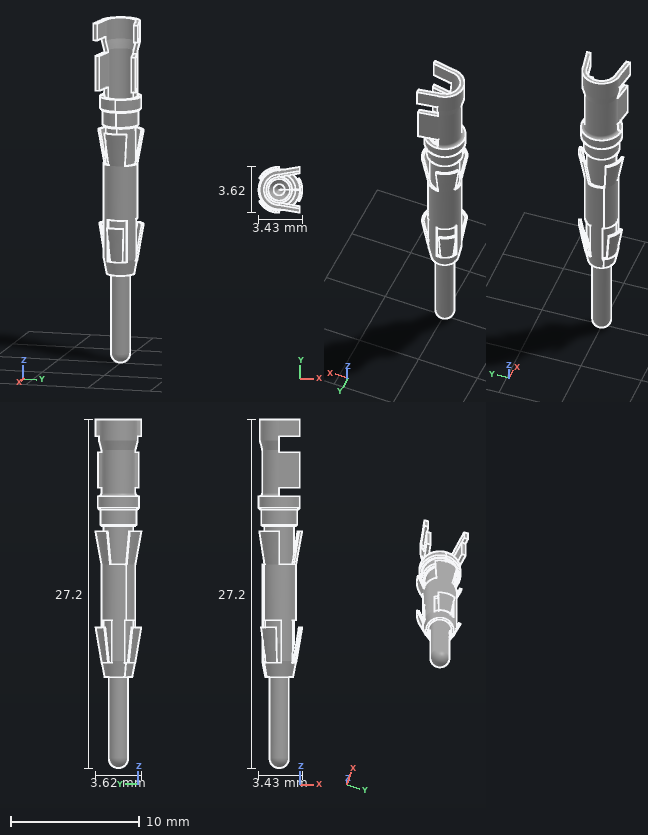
import cadquery as cq
import math

OVERALL_X = 3.43
OVERALL_Y = 3.62
TOP_Z = 27.2
TANG_TIP_RADIUS = OVERALL_Y / 2

PIN_RADIUS = 0.75
PIN_TOP_Z = 7.1
SHAFT_RADIUS = 1.17
SHAFT_CONE_TOP_Z = 9.7
BAND_RADIUS = 1.41
BAND_BOTTOM_Z = 18.85
COLLAR_RADIUS = OVERALL_X - TANG_TIP_RADIUS
COLLAR_BOTTOM_Z = 20.15
COLLAR_TOP_Z = 21.22
EDGE_CHAMFER = 0.14

SHEET_THICKNESS = 0.33
WIRE_RADIUS = 1.33
INSULATION_RADIUS = 1.52
FUNNEL_BOTTOM_Z = 24.8
FUNNEL_TOP_Z = 25.55
BARREL_FOOT_FILLET = 0.25
WIRE_BORE_RADIUS = WIRE_RADIUS - SHEET_THICKNESS
INSULATION_BORE_RADIUS = INSULATION_RADIUS - SHEET_THICKNESS

ARM_TIP_X = 1.6
ARM_SPREAD = 0.27
WIRE_ARM_BOTTOM_Z = 21.87
WIRE_ARM_TOP_Z = 24.65
INSULATION_ARM_BOTTOM_Z = 25.87

RECESS_RADIUS = 1.28
RECESS_DEPTH = 0.55
BORE_FLOOR_Z = 19.58
HOLE_MOUTH_RADIUS = 0.85
HOLE_NECK_RADIUS = 0.44
HOLE_MOUTH_DEPTH = 1.1
HOLE_TIP_DEPTH = 0.35
HOLE_MOUTH_END_Z = BORE_FLOOR_Z - HOLE_MOUTH_DEPTH
HOLE_TIP_Z = HOLE_MOUTH_END_Z - HOLE_TIP_DEPTH

SLEEVE_THICKNESS = 0.15
SLEEVE_INNER_RADIUS = SHAFT_RADIUS
SLEEVE_RADIUS = SLEEVE_INNER_RADIUS + SLEEVE_THICKNESS
SLEEVE_TOP_Z = 15.88
SLEEVE_BOTTOM_RADIUS = 1.1
SLEEVE_CONE_TOP_Z = 8.35

TANG_ANGLES = (0, 120, 240)
UPPER_TANG_TIP_Z = 18.5
UPPER_TANG_SPAN = 60
LOWER_TANG_TIP_Z = 11.0
LOWER_TANG_SPAN = 44
WINDOW_BOTTOM_Z = 8.21
WINDOW_TOP_Z = 11.53
WINDOW_SPAN = 75

SEAM_SPAN = 1
CONTACT_SEAM_ANGLE = 0
SLEEVE_SEAM_ANGLE = 207


def revolve_about_z(profile, start_angle=0, span=360):
    """Turn a closed (radius, z) profile anticlockwise around Z, start_angle degrees from +X."""
    turned = profile.revolve(span, (0, 0, 0), (0, 1, 0))
    return turned.rotate((0, 0, 0), (0, 0, 1), start_angle)


def make_wedge(angle, span, radius, bottom_z, top_z):
    """Cylinder sector with its point on the axis, centred on the given angle."""
    profile = cq.Workplane("XZ").polyline([
        (0, bottom_z), (radius, bottom_z), (radius, top_z), (0, top_z),
    ]).close()
    return revolve_about_z(profile, angle - span / 2, span)


def make_shaft():
    """Pin, shaft, stop band and collar as one turned solid."""
    tip_curve = PIN_RADIUS * math.sqrt(0.5)
    profile = (
        cq.Workplane("XZ")
        .moveTo(0, 0)
        .threePointArc((tip_curve, PIN_RADIUS - tip_curve), (PIN_RADIUS, PIN_RADIUS))
        .lineTo(PIN_RADIUS, PIN_TOP_Z)
        .lineTo(SHAFT_RADIUS, SHAFT_CONE_TOP_Z)
        .lineTo(SHAFT_RADIUS, BAND_BOTTOM_Z)
        .lineTo(BAND_RADIUS - EDGE_CHAMFER, BAND_BOTTOM_Z)
        .lineTo(BAND_RADIUS, BAND_BOTTOM_Z + EDGE_CHAMFER)
        .lineTo(BAND_RADIUS, COLLAR_BOTTOM_Z)
        .lineTo(COLLAR_RADIUS - EDGE_CHAMFER, COLLAR_BOTTOM_Z)
        .lineTo(COLLAR_RADIUS, COLLAR_BOTTOM_Z + EDGE_CHAMFER)
        .lineTo(COLLAR_RADIUS, COLLAR_TOP_Z)
        .lineTo(0, COLLAR_TOP_Z)
        .close()
    )
    return revolve_about_z(profile)


def make_wire_hole():
    """Wire bore with a flat floor, a tapered hole mouth and a pointed end."""
    profile = cq.Workplane("XZ").polyline([
        (0, COLLAR_TOP_Z),
        (WIRE_BORE_RADIUS, COLLAR_TOP_Z),
        (WIRE_BORE_RADIUS, BORE_FLOOR_Z),
        (HOLE_MOUTH_RADIUS, BORE_FLOOR_Z),
        (HOLE_NECK_RADIUS, HOLE_MOUTH_END_Z),
        (0, HOLE_TIP_Z),
    ]).close()
    return revolve_about_z(profile)


def make_collar_recess():
    """Half-round recess in the collar top, on the open (+X) side of the barrels."""
    return make_wedge(0, 180, RECESS_RADIUS, COLLAR_TOP_Z - RECESS_DEPTH, COLLAR_TOP_Z)


def make_barrels():
    """Half-round wire and insulation barrels joined by a funnel, on the -X side."""
    fillet_mid = BARREL_FOOT_FILLET * (1 - math.sqrt(0.5))
    profile = (
        cq.Workplane("XZ")
        .moveTo(WIRE_BORE_RADIUS, COLLAR_TOP_Z)
        .lineTo(WIRE_RADIUS + BARREL_FOOT_FILLET, COLLAR_TOP_Z)
        .threePointArc(
            (WIRE_RADIUS + fillet_mid, COLLAR_TOP_Z + fillet_mid),
            (WIRE_RADIUS, COLLAR_TOP_Z + BARREL_FOOT_FILLET),
        )
        .lineTo(WIRE_RADIUS, FUNNEL_BOTTOM_Z)
        .lineTo(INSULATION_RADIUS, FUNNEL_TOP_Z)
        .lineTo(INSULATION_RADIUS, TOP_Z)
        .lineTo(INSULATION_BORE_RADIUS, TOP_Z)
        .lineTo(INSULATION_BORE_RADIUS, FUNNEL_TOP_Z)
        .lineTo(WIRE_BORE_RADIUS, FUNNEL_BOTTOM_Z)
        .close()
    )
    return revolve_about_z(profile, 90, 180)


def make_arm_pair(barrel_radius, bottom_z, top_z):
    """Two flat crimp arms that spread outwards from the barrel edges at X = 0."""
    inner_y = barrel_radius - SHEET_THICKNESS
    arm = (
        cq.Workplane("XY", origin=(0, 0, bottom_z))
        .polyline([
            (0, inner_y),
            (ARM_TIP_X, inner_y + ARM_SPREAD),
            (ARM_TIP_X, barrel_radius + ARM_SPREAD),
            (0, barrel_radius),
        ])
        .close()
        .extrude(top_z - bottom_z)
    )
    return arm.union(arm.mirror("XZ"))


def make_contact():
    seam = make_wedge(CONTACT_SEAM_ANGLE, SEAM_SPAN, TANG_TIP_RADIUS, HOLE_TIP_Z, COLLAR_TOP_Z)
    shaft = make_shaft().cut(make_wire_hole()).cut(make_collar_recess()).cut(seam)
    wire_arms = make_arm_pair(WIRE_RADIUS, WIRE_ARM_BOTTOM_Z, WIRE_ARM_TOP_Z)
    insulation_arms = make_arm_pair(INSULATION_RADIUS, INSULATION_ARM_BOTTOM_Z, TOP_Z)
    return shaft.union(make_barrels()).union(wire_arms).union(insulation_arms)


def make_sleeve_tube():
    """Tube with a tapered lower end and constant radial thickness."""
    profile = cq.Workplane("XZ").polyline([
        (SLEEVE_BOTTOM_RADIUS - SLEEVE_THICKNESS, PIN_TOP_Z),
        (SLEEVE_BOTTOM_RADIUS, PIN_TOP_Z),
        (SLEEVE_RADIUS, SLEEVE_CONE_TOP_Z),
        (SLEEVE_RADIUS, SLEEVE_TOP_Z),
        (SLEEVE_INNER_RADIUS, SLEEVE_TOP_Z),
        (SLEEVE_INNER_RADIUS, SLEEVE_CONE_TOP_Z),
    ]).close()
    return revolve_about_z(profile)


def make_tang(angle, span, root_z, tip_z):
    """Curved tang that flares upwards and outwards, centred on the given angle."""
    profile = cq.Workplane("XZ").polyline([
        (SLEEVE_INNER_RADIUS, root_z),
        (SLEEVE_RADIUS, root_z),
        (TANG_TIP_RADIUS, tip_z),
        (TANG_TIP_RADIUS - SLEEVE_THICKNESS, tip_z),
    ]).close()
    return revolve_about_z(profile, angle - span / 2, span)


def make_sleeve():
    seam = make_wedge(SLEEVE_SEAM_ANGLE, SEAM_SPAN, TANG_TIP_RADIUS, PIN_TOP_Z, SLEEVE_TOP_Z)
    sleeve = make_sleeve_tube().cut(seam)
    for angle in TANG_ANGLES:
        window = make_wedge(angle, WINDOW_SPAN, TANG_TIP_RADIUS, WINDOW_BOTTOM_Z, WINDOW_TOP_Z)
        sleeve = sleeve.cut(window)
    for angle in TANG_ANGLES:
        sleeve = sleeve.union(make_tang(angle, UPPER_TANG_SPAN, SLEEVE_TOP_Z, UPPER_TANG_TIP_Z))
        sleeve = sleeve.union(make_tang(angle, LOWER_TANG_SPAN, WINDOW_BOTTOM_Z, LOWER_TANG_TIP_Z))
    return sleeve


contact = make_contact()
sleeve = make_sleeve()
result = cq.Compound.makeCompound([contact.val(), sleeve.val()])